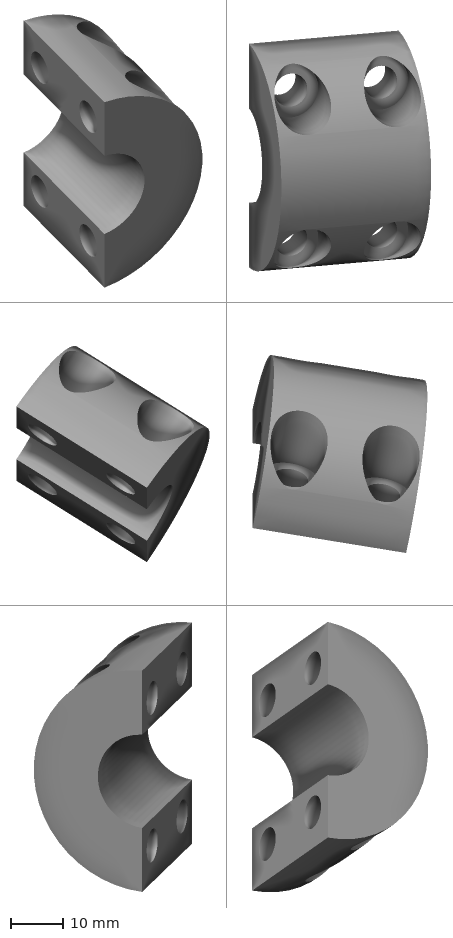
import cadquery as cq

width = 30.0
outer_radius = 22.5
bore_radius = 9.5
split_gap = 0.5

screw_spacing_x = 18.0
screw_spacing_z = 30.0
screw_hole_diameter = 6.6
head_diameter = 11.02
head_seat_y = 8.5


def half_ring():
    """Ring around the X axis, cut off flat at the split face."""
    ring = (
        cq.Workplane("YZ")
        .circle(outer_radius)
        .circle(bore_radius)
        .extrude(width / 2, both=True)
    )
    kept_side = cq.Workplane("XY").box(
        width, outer_radius, 2 * outer_radius, centered=(True, False, True)
    ).translate((0, split_gap, 0))
    return ring.intersect(kept_side)


def screw_cylinders(diameter, start_y):
    """Cylinders on the screw pattern, running from start_y out past the ring."""
    return (
        cq.Workplane("XZ", origin=(0, start_y, 0))
        .rarray(screw_spacing_x, screw_spacing_z, 2, 2)
        .circle(diameter / 2)
        .extrude(-(outer_radius - start_y))
    )


result = (
    half_ring()
    .cut(screw_cylinders(screw_hole_diameter, 0))
    .cut(screw_cylinders(head_diameter, head_seat_y))
)